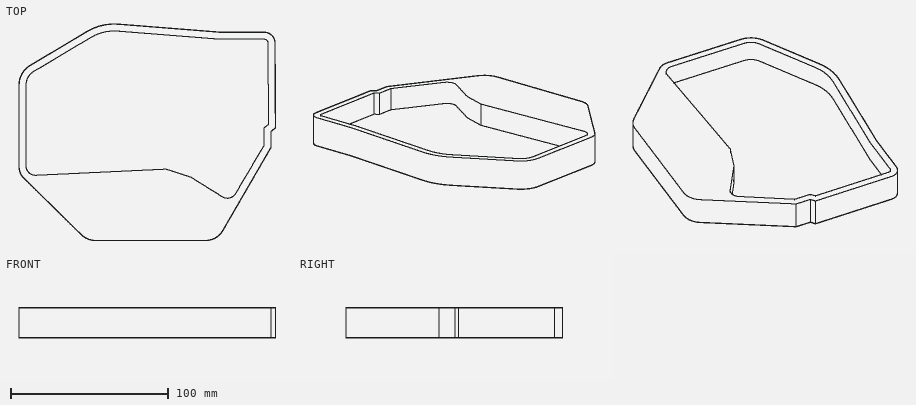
import cadquery as cq
import math


length = 162.56
height = 19.05
floor_thickness = 4.76
wall = 4.5

left_lower_y = 42.6
left_upper_y = 106.8
front_left_x = 43.3
front_right_x = 125.5
shelf_x = 159.75
shelf_lower_y = 59.1
shelf_upper_y = 69.2
step_y = 71.4
back_right_x = 162.25
back_y = 132.1
back_bend_x = 127.3
crown_corner = (52.4, 138.03)

front_radius = 12.7
back_left_radius = 14.5
back_right_radius = 7.0
left_radius = 10.0
crown_radius = 33.0

pocket_front_left_y = 41.1
pocket_front_crest = (93.2, 45.3)
pocket_front_bend = (108.9, 40.2)
pocket_front_tip = (134.1, 24.5)
pocket_front_radius = 6.0

front_corners = [
    ((0, left_lower_y), left_radius),
    ((front_left_x, 0), front_radius),
    ((front_right_x, 0), front_radius),
]
walled_corners = [
    ((shelf_x, shelf_lower_y), 0),
    ((shelf_x, shelf_upper_y), 0),
    ((length, step_y), 0),
    ((back_right_x, back_y), back_right_radius),
    ((back_bend_x, back_y), 0),
    (crown_corner, crown_radius),
    ((0, left_upper_y), back_left_radius),
]


def unit_vector(start, end):
    """Direction from one point to another."""
    run = end[0] - start[0]
    rise = end[1] - start[1]
    distance = math.hypot(run, rise)
    return run / distance, rise / distance


def inset_point(before, corner, after, distance):
    """Corner where the two adjoining edges meet once both move inward by the distance."""
    ax, ay = unit_vector(before, corner)
    bx, by = unit_vector(corner, after)
    scale = distance / (1 + ax * bx + ay * by)
    return corner[0] - (ay + by) * scale, corner[1] + (ax + bx) * scale


def rounded_prism(corners, depth):
    """Extruded polygon whose corners are rounded by tangent arcs."""
    count = len(corners)
    path = None
    for index, (corner, radius) in enumerate(corners):
        to_before = unit_vector(corner, corners[index - 1][0])
        to_after = unit_vector(corner, corners[(index + 1) % count][0])
        cosine = to_before[0] * to_after[0] + to_before[1] * to_after[1]
        half_angle = math.acos(cosine) / 2
        setback = radius / math.tan(half_angle)
        arc_start = (corner[0] + to_before[0] * setback, corner[1] + to_before[1] * setback)
        arc_end = (corner[0] + to_after[0] * setback, corner[1] + to_after[1] * setback)
        if path is None:
            path = cq.Workplane("XY").moveTo(*arc_start)
        else:
            path = path.lineTo(*arc_start)
        if radius > 0:
            bisector = unit_vector((0, 0), (to_before[0] + to_after[0], to_before[1] + to_after[1]))
            reach = radius / math.sin(half_angle) - radius
            arc_middle = (corner[0] + bisector[0] * reach, corner[1] + bisector[1] * reach)
            path = path.threePointArc(arc_middle, arc_end)
    return path.close().extrude(depth)


def pocket_corners():
    """Pocket outline: the walled corners inset by the wall, then the front edge."""
    chain = [front_corners[-1]] + walled_corners + [front_corners[0]]
    corners = []
    for before, (corner, radius), after in zip(chain, chain[1:], chain[2:]):
        inset = inset_point(before[0], corner, after[0], wall)
        corners.append((inset, max(radius - wall, 0)))
    corners.append(((wall, pocket_front_left_y), pocket_front_radius))
    corners.append((pocket_front_crest, 0))
    corners.append((pocket_front_bend, 0))
    corners.append((pocket_front_tip, pocket_front_radius))
    return corners


body = rounded_prism(front_corners + walled_corners, height)
pocket = rounded_prism(pocket_corners(), height).translate((0, 0, floor_thickness))
result = body.cut(pocket)